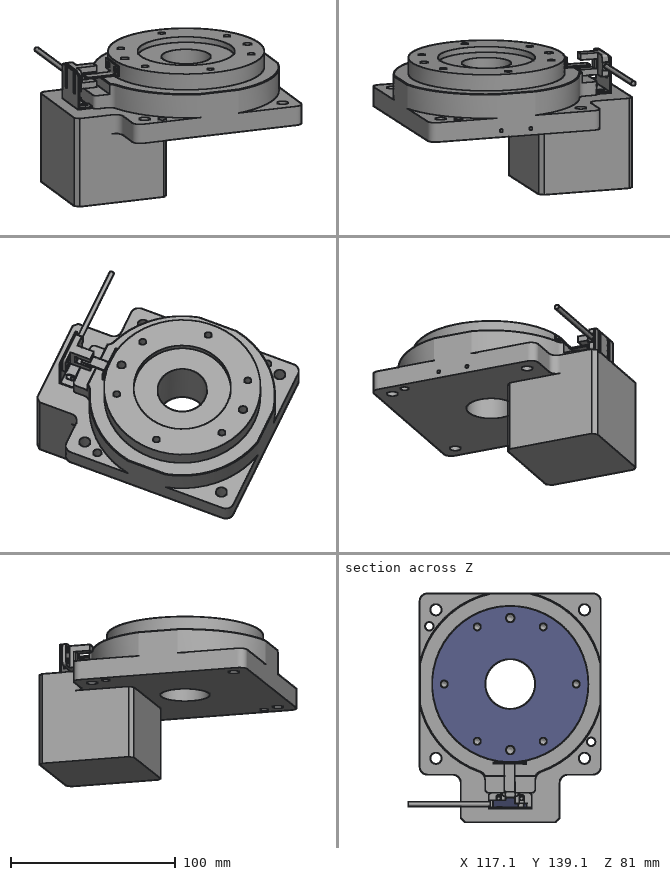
import cadquery as cq
import math


UP = cq.Vector(0, 0, 1)
DOWN = cq.Vector(0, 0, -1)
INWARD_X = cq.Vector(1, 0, 0)

base_size = 110.1
base_thickness = 12.1
base_corner_radius = 5.0
mount_hole_offset = 45.0
mount_hole_diameter = 6.7
dowel_hole_x = 49.0
dowel_hole_y = 35.0
dowel_hole_diameter = 5.0
side_hole_offset = 9.5
side_hole_z = -8.0
side_hole_diameter = 2.0
side_hole_depth = 5.0

motor_width = 60.0
motor_front_y = -84.0
motor_height = 56.0
motor_chamfer = 2.6

housing_radius = 56.5
housing_height = 15.0
housing_chamfer = 0.4
neck_width = 30.6
neck_front_y = -66.0
neck_step_y = -56.0
neck_step_z = 8.3
neck_corner_radius = 2.5
neck_root_radius = 5.0

table_diameter = 95.0
table_top_z = 25.0
pocket_diameter = 59.0
pocket_depth = 3.5
bore_diameter = 30.0
hole_circle_radius = 40.0
tapped_hole_diameter = 4.2
tapped_hole_count = 6
pin_hole_diameter = 5.0
table_hole_depth = 10.0
drill_tip_angle = 118

sheet_thickness = 1.0
bracket_width = 26.0
bracket_height = 22.4
bracket_front_y = -75.6
bracket_corner_radius = 1.7
bracket_slot_width = 3.2
bracket_slot_spacing = 13.0
bracket_slot_bottom_z = 8.3
bracket_slot_top_z = 22.0
foot_slot_spacing = 13.9
foot_slot_back_y = -67.1
foot_slot_length = 6.4
foot_notch_depth = 2.1
foot_notch_mouth_width = 11.7
foot_notch_floor_width = 7.8
bracket_screw_hole_y = -69.4
bracket_screw_hole_diameter = 2.4
bracket_screw_hole_depth = 5.0

sensor_bottom_z = 9.7
sensor_top_z = 23.4
sensor_left_x = -10.5
sensor_right_x = 10.3
sensor_left_radius = 1.4
sensor_right_radius = 2.1
sensor_lobe_depth = 4.2
sensor_ear_depth = 2.2
sensor_arm_width = 6.0
sensor_arm_tip_y = -59.5
sensing_gap = 6.0
sensing_gap_floor_y = -68.7
gap_floor_chamfer = 1.0
ear_hole_diameter = 3.5
ear_hole_spacing = 7.0
cable_boss_length = 1.7
cable_boss_height = 5.0
cable_diameter = 2.9
cable_y = -72.8
cable_z = 16.7
cable_end_x = -62.0

flag_angle = -0.4
flag_width = 20.0
flag_top_z = 23.4
flag_plate_height = 6.1
flag_arm_width = 6.4
flag_arm_bottom_z = 15.4
flag_arm_tip_y = -65.3
flag_bend_radius = 0.5
flag_slot_length = 6.0
flag_slot_width = 3.0
flag_slot_spacing = 12.4


def box(x_min, x_max, y_min, y_max, z_min, z_max):
    """Block between the given limits."""
    corner = cq.Vector(x_min, y_min, z_min)
    return cq.Workplane(cq.Solid.makeBox(x_max - x_min, y_max - y_min, z_max - z_min, corner))


def drilled_hole(point, direction, diameter, depth):
    """Cutter for a blind hole with a conical drill tip."""
    radius = diameter / 2
    tip_length = radius / math.tan(math.radians(drill_tip_angle / 2))
    start = cq.Vector(*point)
    shank = cq.Solid.makeCylinder(radius, depth, start, direction)
    tip = cq.Solid.makeCone(radius, 0, tip_length, start + direction * depth, direction)
    return cq.Workplane(shank.fuse(tip))


def make_base_and_motor():
    """Square base plate joined to the motor that hangs below its front side."""
    motor_center_y = motor_front_y + motor_width / 2
    plate = cq.Workplane().rect(base_size, base_size).extrude(-base_thickness)
    plate = plate.edges("|Z").fillet(base_corner_radius)
    motor = (
        cq.Workplane()
        .center(0, motor_center_y)
        .rect(motor_width, motor_width)
        .extrude(-motor_height)
        .edges("|Z")
        .chamfer(motor_chamfer)
    )
    body = plate.union(motor)
    for side in (-1, 1):
        inner_corner = (side * motor_width / 2, -base_size / 2, -base_thickness / 2)
        body = body.edges(cq.NearestToPointSelector(inner_corner)).fillet(base_corner_radius)

    mount_spacing = 2 * mount_hole_offset
    mount_holes = (
        cq.Workplane()
        .rect(mount_spacing, mount_spacing, forConstruction=True)
        .vertices()
        .circle(mount_hole_diameter / 2)
        .extrude(-base_thickness)
    )
    dowel_holes = (
        cq.Workplane()
        .pushPoints([(-dowel_hole_x, dowel_hole_y), (dowel_hole_x, -dowel_hole_y)])
        .circle(dowel_hole_diameter / 2)
        .extrude(-base_thickness)
    )
    body = body.cut(mount_holes).cut(dowel_holes)
    for side in (-1, 1):
        point = (-base_size / 2, side * side_hole_offset, side_hole_z)
        body = body.cut(drilled_hole(point, INWARD_X, side_hole_diameter, side_hole_depth))
    return body


def make_housing():
    """Round housing, flat at the base sides, with a stepped neck at the front."""
    disk = cq.Workplane().circle(housing_radius).extrude(housing_height)
    half_base = base_size / 2
    disk = disk.intersect(box(-half_base, half_base, -base_size, half_base, 0, housing_height))
    half_neck = neck_width / 2
    neck = box(-half_neck, half_neck, neck_front_y, 0, 0, housing_height)
    neck = neck.edges("|Z and <Y").fillet(neck_corner_radius)
    housing = disk.union(neck)

    root_y = -math.sqrt(housing_radius**2 - half_neck**2)
    for side in (-1, 1):
        root = (side * half_neck, root_y, housing_height / 2)
        housing = housing.edges(cq.NearestToPointSelector(root)).fillet(neck_root_radius)

    step = box(-neck_width, neck_width, neck_front_y, neck_step_y, neck_step_z, housing_height)
    return housing.cut(step).faces(">Z").chamfer(housing_chamfer)


def make_actuator():
    """Base, motor, housing and table with the hollow bore."""
    table = cq.Workplane().circle(table_diameter / 2).extrude(table_top_z)
    actuator = make_base_and_motor().union(make_housing()).union(table)

    bore = cq.Workplane(origin=(0, 0, -base_thickness)).circle(bore_diameter / 2)
    pocket = cq.Workplane(origin=(0, 0, table_top_z)).circle(pocket_diameter / 2)
    actuator = actuator.cut(bore.extrude(base_thickness + table_top_z))
    actuator = actuator.cut(pocket.extrude(-pocket_depth))

    for index in range(tapped_hole_count):
        angle = math.radians(index * 360 / tapped_hole_count)
        point = (hole_circle_radius * math.cos(angle), hole_circle_radius * math.sin(angle), table_top_z)
        actuator = actuator.cut(drilled_hole(point, DOWN, tapped_hole_diameter, table_hole_depth))
    for side in (-1, 1):
        point = (0, side * hole_circle_radius, table_top_z)
        actuator = actuator.cut(drilled_hole(point, DOWN, pin_hole_diameter, table_hole_depth))

    for side in (-1, 1):
        point = (side * foot_slot_spacing / 2, bracket_screw_hole_y, 0)
        screw_hole = drilled_hole(point, DOWN, bracket_screw_hole_diameter, bracket_screw_hole_depth)
        actuator = actuator.cut(screw_hole)
    return actuator


def make_bracket():
    """Bent sheet angle with adjusting slots in both legs."""
    half_width = bracket_width / 2
    wall = box(-half_width, half_width, bracket_front_y, bracket_front_y + sheet_thickness, 0, bracket_height)
    wall = wall.edges("|Y and >Z").fillet(bracket_corner_radius)
    foot = box(-half_width, half_width, bracket_front_y, neck_front_y, 0, sheet_thickness)
    foot = foot.edges("|Z and >Y").fillet(bracket_corner_radius)
    bracket = wall.union(foot)

    wall_slots = (
        cq.Workplane("XZ", origin=(0, 0, (bracket_slot_bottom_z + bracket_slot_top_z) / 2))
        .rarray(bracket_slot_spacing, 1.4, 2, 1)
        .slot2D(bracket_slot_top_z - bracket_slot_bottom_z, bracket_slot_width, 90)
        .extrude(-bracket_front_y)
    )
    foot_slots = (
        cq.Workplane(origin=(0, foot_slot_back_y - foot_slot_length / 2, 0))
        .rarray(foot_slot_spacing, 1.4, 2, 1)
        .slot2D(foot_slot_length, bracket_slot_width, 90)
        .extrude(sheet_thickness)
    )
    notch_floor_y = neck_front_y - foot_notch_depth
    notch = (
        cq.Workplane()
        .moveTo(-foot_notch_mouth_width / 2, neck_front_y)
        .lineTo(-foot_notch_floor_width / 2, notch_floor_y)
        .lineTo(foot_notch_floor_width / 2, notch_floor_y)
        .lineTo(foot_notch_mouth_width / 2, neck_front_y)
        .close()
        .extrude(sheet_thickness)
    )
    return bracket.cut(wall_slots).cut(foot_slots).cut(notch)


def make_sensor():
    """Fork sensor with a mounting ear and its cable."""
    front_y = bracket_front_y + sheet_thickness
    lobe_y = front_y + sensor_lobe_depth
    ear_y = front_y + sensor_ear_depth
    middle_z = (sensor_bottom_z + sensor_top_z) / 2
    half_arm = sensor_arm_width / 2

    lobe = box(sensor_left_x, half_arm, front_y, lobe_y, sensor_bottom_z, sensor_top_z)
    lobe = lobe.edges("|Y and <X").fillet(sensor_left_radius)
    ear = box(0, sensor_right_x, front_y, ear_y, sensor_bottom_z, sensor_top_z)
    ear = ear.edges("|Y and >X").fillet(sensor_right_radius)
    ear_holes = (
        cq.Workplane("XZ", origin=(bracket_slot_spacing / 2, 0, middle_z))
        .rarray(1.4, ear_hole_spacing, 1, 2)
        .circle(ear_hole_diameter / 2)
        .extrude(-front_y)
    )

    fork = box(-half_arm, half_arm, front_y, sensor_arm_tip_y, sensor_bottom_z, sensor_top_z)
    gap_bottom_z = middle_z - sensing_gap / 2
    gap_top_z = middle_z + sensing_gap / 2
    gap = box(-half_arm, half_arm, sensing_gap_floor_y, sensor_arm_tip_y, gap_bottom_z, gap_top_z)
    fork = fork.cut(gap)
    for side in (-1, 1):
        floor_chamfer = (
            cq.Workplane(origin=(0, 0, gap_bottom_z))
            .moveTo(side * half_arm, sensing_gap_floor_y)
            .lineTo(side * (half_arm - gap_floor_chamfer), sensing_gap_floor_y)
            .lineTo(side * half_arm, sensing_gap_floor_y - gap_floor_chamfer)
            .close()
            .extrude(sensing_gap)
        )
        fork = fork.cut(floor_chamfer)

    boss_end_x = sensor_left_x - cable_boss_length
    boss_bottom_z = middle_z - cable_boss_height / 2
    boss = box(boss_end_x, 0, front_y, lobe_y, boss_bottom_z, boss_bottom_z + cable_boss_height)
    cable = (
        cq.Workplane("YZ", origin=(boss_end_x, cable_y, cable_z))
        .circle(cable_diameter / 2)
        .extrude(cable_end_x - boss_end_x)
    )
    return lobe.union(ear.cut(ear_holes)).union(fork).union(boss).union(cable)


def make_flag():
    """Bent sheet flag on the rim of the table, reaching into the sensing gap."""
    back_y = -table_diameter / 2
    front_y = back_y - sheet_thickness
    half_width = flag_width / 2
    half_arm = flag_arm_width / 2
    plate_bottom_z = flag_top_z - flag_plate_height
    arm_top_z = flag_arm_bottom_z + sheet_thickness

    tab = box(-half_arm, half_arm, front_y, back_y, flag_arm_bottom_z, flag_top_z)
    arm = box(-half_arm, half_arm, flag_arm_tip_y, back_y, flag_arm_bottom_z, arm_top_z)
    bend = cq.NearestToPointSelector((0, front_y, arm_top_z))
    angle = tab.union(arm).edges(bend).fillet(flag_bend_radius)

    plate = box(-half_width, half_width, front_y, back_y, plate_bottom_z, flag_top_z)
    slots = (
        cq.Workplane("XZ", origin=(0, 0, flag_top_z - flag_plate_height / 2))
        .rarray(flag_slot_spacing, 1.4, 2, 1)
        .slot2D(flag_slot_length, flag_slot_width)
        .extrude(-front_y)
    )
    flag = angle.union(plate).cut(slots)
    return flag.rotate((0, 0, 0), UP.toTuple(), flag_angle)


actuator = make_actuator()
bracket = make_bracket()
sensor = make_sensor()
flag = make_flag()

result = cq.Compound.makeCompound([actuator.val(), bracket.val(), sensor.val(), flag.val()])